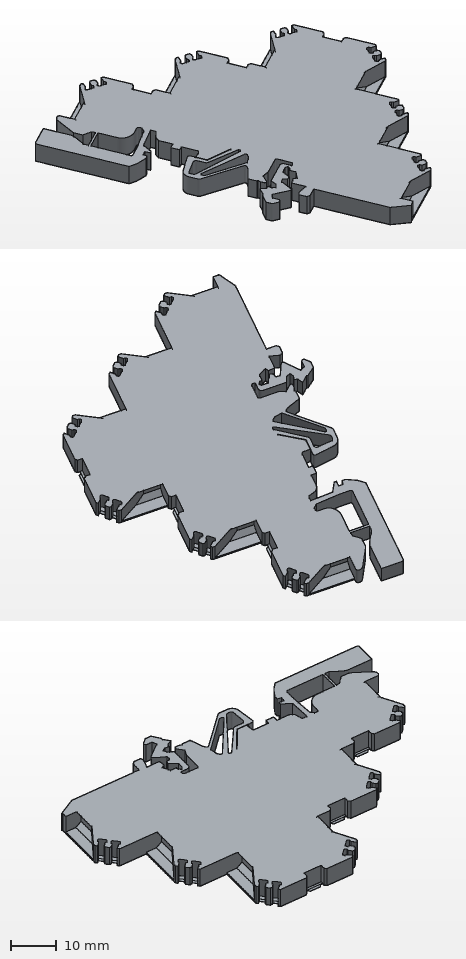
import math

import cadquery as cq

THICKNESS = 5.08
TOP_Y = 57.65
TIER_HEIGHT = 15.4
LEFT_FACE_X = 35.9
RIGHT_FACE_X = 62.75
LEFT_STEP = 16.65
RIGHT_STEP = 10.95
TIER_COUNT = 3
CORNER_CUT = 3.9
CORNER_ANGLE = 45
OVERCUT = 1.0

POCKET_FLOOR = 0.5
POCKET_TOP_DROP = 4.5
POCKET_SLANT = 1.68
POCKET_RIM_DEPTH = 2.8
POCKET_BASE_DEPTH = 2.65
POCKET_BACK_DEPTH = 4.05
POCKET_BACK_BOTTOM = 1.6
POCKET_BACK_TOP = 4.2

LABEL_FLOOR = 0.2

SLOT_MOUTH = 0.5
SLOT_NEAR = 0.8
SLOT_FAR = 2.2
SLOT_LEAD_IN = 0.4
SLOT_THROUGH_DEPTH = 0.75
SLOT_NECK_DEPTH = 1.35
SLOT_WIDEN = 0.35
SLOT_END_DEPTH = 2.35
SLOT_END_ROUND = 0.4

RECESS_OFFSET = 13.4
RECESS_HALF = 2.25
RECESS_LEAD_IN = 0.5
RECESS_TAB_DROP = 0.5
RECESS_GAP_DROP = 1.05
RECESS_DROP = 1.6
TAB_HALF_TOP = 1.4
TAB_HALF_BASE = 1.75


def rounded_outline(corners):
    """Closed outline through (x, y) or (x, y, radius) corners; radii become tangent arcs."""
    pieces = []
    for index, corner in enumerate(corners):
        x, y = corner[:2]
        if len(corner) == 2:
            pieces.append([(x, y)])
            continue
        before = corners[index - 1]
        after = corners[(index + 1) % len(corners)]
        angle_in = math.atan2(before[1] - y, before[0] - x)
        angle_out = math.atan2(after[1] - y, after[0] - x)
        half = math.remainder(angle_out - angle_in, math.tau) / 2
        tangent = corner[2] / abs(math.tan(half))
        middle = corner[2] / abs(math.sin(half)) - corner[2]
        bisector = angle_in + half
        pieces.append([
            (x + tangent * math.cos(angle_in), y + tangent * math.sin(angle_in)),
            (x + middle * math.cos(bisector), y + middle * math.sin(bisector)),
            (x + tangent * math.cos(angle_out), y + tangent * math.sin(angle_out)),
        ])
    sketch = cq.Workplane("XY").moveTo(*pieces[0][-1])
    for piece in pieces[1:] + pieces[:1]:
        sketch = sketch.lineTo(*piece[0])
        if len(piece) > 1:
            sketch = sketch.threePointArc(piece[1], piece[2])
    return sketch.wire()


def plate(corners):
    """Full-thickness slab with the given outline."""
    return rounded_outline(corners).extrude(THICKNESS)


def tier_top(tier):
    return TOP_Y - tier * TIER_HEIGHT


def left_face(tier):
    return LEFT_FACE_X - tier * LEFT_STEP


def right_face(tier):
    return RIGHT_FACE_X + tier * RIGHT_STEP


def make_body():
    """Stepped housing with the rail side along its lower edge."""
    left_stairs = []
    right_stairs = []
    for tier in range(TIER_COUNT):
        top = tier_top(tier)
        left_stairs += [
            (left_face(tier) + CORNER_CUT, top),
            (left_face(tier), top - CORNER_CUT),
            (left_face(tier), top - TIER_HEIGHT),
        ]
        right_stairs += [
            (right_face(tier) - CORNER_CUT, top),
            (right_face(tier), top - CORNER_CUT),
            (right_face(tier), top - TIER_HEIGHT),
        ]
    left_lip = [(1.5, 11.45, 0.6), (1.5, 10.1, 1.2), (6.7, 7.15), (8.9, 7.15), (10.3, 8.75), (11.5, 8.95)]
    cable_side = [(19.25, 8.95, 3.0), (19.25, 13.8, 0.5), (22.3, 13.8)]
    rail_seat = [
        (23.6, 13.8, 0.3), (24.2, 11.9, 0.5), (25.2, 11.15), (28.5, 11.15),
        (28.5, 9.85), (30.6, 9.85), (30.6, 10.9), (34.8, 10.9, 0.5),
    ]
    spring_loop = [
        (34.8, 8.75), (32.9, 8.75, 0.5), (33.9, 2.1, 1.9), (38.0, 2.1, 1.0), (46.1, 10.15, 0.5),
        (46.8, 9.1, 0.4), (48.0, 5.95),
    ]
    latch_seat = [
        (50.1, 5.95), (50.3, 6.2), (50.9, 5.95), (52.2, 5.95, 0.4), (52.2, 6.5, 0.3), (50.8, 8.0),
        (51.4, 9.6), (51.4, 14.35, 0.4), (55.5, 14.35, 0.4), (55.5, 13.4, 0.3), (54.8, 12.85),
        (55.5, 12.3), (55.5, 11.75), (57.1, 11.75), (58.1, 9.9), (57.3, 9.5), (57.5, 7.95),
    ]
    right_foot = [
        (60.8, 7.95), (60.1, 5.6), (60.4, 4.85), (62.2, 4.85), (62.75, 5.4), (62.75, 7.75),
        (80.6, 7.75), (84.8, 10.05), (right_face(TIER_COUNT - 1), 10.25),
    ]
    lower_edge = left_lip + cable_side + rail_seat + spring_loop + latch_seat + right_foot
    return plate(left_stairs + lower_edge + right_stairs[::-1])


def make_lever():
    """Release lever: heavy bar, hooked arm that hangs from the body, and a thin web."""
    bar = plate([
        (0.0, 0.8, 0.4), (22.1, 0.8), (23.4, 2.3), (24.6, 4.6), (24.6, 5.4), (23.6, 5.6), (23.6, 6.65),
        (24.9, 6.65), (24.9, 7.2), (22.6, 8.5), (22.3, 14.5), (20.3, 14.5),
        (20.3, 13.8), (21.05, 13.0), (21.5, 7.3), (21.5, 4.35, 0.4), (10.1, 4.35),
        (7.5, 5.9, 1.0), (6.5, 6.2, 0.5), (0.0, 6.2),
    ])
    web = plate([(11.25, 4.0), (11.8, 4.0), (11.8, 9.2), (11.25, 9.2)])
    return bar.union(web)


def make_latch():
    """Zigzag latch that hangs from the body by a narrow neck."""
    return plate([
        (53.0, 13.4, 0.8), (54.8, 13.4), (55.5, 13.4), (55.1, 12.6), (54.9, 12.85), (54.4, 12.3),
        (54.4, 10.8), (56.4, 9.6), (56.2, 8.9), (55.2, 8.6, 0.3), (55.2, 7.6), (57.2, 6.6),
        (58.5, 5.85, 0.4), (54.8, 2.9), (55.3, 1.8), (56.9, 1.8), (57.3, 1.2, 0.4), (55.9, 0.0, 0.3),
        (54.4, 0.0), (52.9, 1.9), (52.9, 2.3), (51.6, 3.7), (52.9, 4.4), (53.0, 5.15),
        (54.0, 4.95), (54.8, 5.4), (54.4, 6.4), (53.0, 7.0),
    ])


def make_spring_openings():
    """Two slanted windows that leave the spring arms, and the slit that frees the loop."""
    left_window = plate([
        (42.7, 14.35), (43.5, 14.35, 0.25), (38.4, 6.2), (36.5, 3.2, 0.8), (35.1, 3.2, 0.5),
        (34.7, 7.75, 0.7), (37.7, 7.75, 0.8),
    ])
    right_window = plate([
        (37.5, 3.65, 0.3), (38.7, 3.65, 0.4), (46.0, 11.0), (45.6, 12.8, 0.4), (44.8, 13.8, 0.4),
    ])
    slit = plate([
        (34.5, 8.7), (37.5, 8.7), (41.15, 13.9), (41.05, 14.0), (37.4, 8.8), (34.5, 8.8),
    ])
    return left_window.union(right_window).union(slit)


def make_wire_pocket(face_x, top, inward):
    """Funnel-shaped pocket entering from an end face; inward is +1 or -1 along X."""
    bottom = top - TIER_HEIGHT
    slant_start = top - POCKET_TOP_DROP
    slant_end = slant_start - POCKET_SLANT * POCKET_BACK_DEPTH
    plan = plate([
        (face_x - inward * OVERCUT, bottom),
        (face_x + inward * POCKET_BACK_DEPTH, bottom),
        (face_x + inward * POCKET_BACK_DEPTH, slant_end),
        (face_x, slant_start),
        (face_x - inward * OVERCUT, slant_start),
    ])
    section = [
        (-OVERCUT, POCKET_FLOOR),
        (POCKET_BASE_DEPTH, POCKET_FLOOR),
        (POCKET_BACK_DEPTH, POCKET_BACK_BOTTOM),
        (POCKET_BACK_DEPTH, POCKET_BACK_TOP),
        (POCKET_RIM_DEPTH, THICKNESS),
        (-OVERCUT, THICKNESS),
    ]
    funnel = (
        cq.Workplane("XZ", origin=(0, bottom, 0))
        .polyline([(face_x + inward * depth, z) for depth, z in section])
        .close()
        .extrude(-TIER_HEIGHT)
    )
    return plan.intersect(funnel)


def make_ramp_cutter(start, end, low_y, high_y):
    """Cutter above a ramp rising from Z = 0 at high_y to the label floor at low_y, X from start to end."""
    return (
        cq.Workplane("YZ", origin=(start, 0, 0))
        .polyline([(high_y, 0), (low_y, LABEL_FLOOR), (low_y, THICKNESS), (high_y, THICKNESS)])
        .close()
        .extrude(end - start)
    )


def make_label_slot():
    """One label slot; X runs along the corner cut and Y points out of the body."""
    mouth = plate([
        (SLOT_MOUTH, OVERCUT), (SLOT_MOUTH, 0), (SLOT_NEAR, -SLOT_LEAD_IN),
        (SLOT_NEAR, -SLOT_THROUGH_DEPTH), (SLOT_FAR, -SLOT_THROUGH_DEPTH), (SLOT_FAR, OVERCUT),
    ])
    neck = make_ramp_cutter(SLOT_NEAR, SLOT_FAR, -SLOT_NECK_DEPTH, -SLOT_THROUGH_DEPTH)
    shoulder = -SLOT_NECK_DEPTH - SLOT_WIDEN
    chamber = plate([
        (SLOT_NEAR, -SLOT_NECK_DEPTH),
        (SLOT_NEAR - SLOT_WIDEN, shoulder),
        (SLOT_NEAR - SLOT_WIDEN, -SLOT_END_DEPTH, SLOT_END_ROUND),
        (SLOT_FAR + SLOT_WIDEN, -SLOT_END_DEPTH, SLOT_END_ROUND),
        (SLOT_FAR + SLOT_WIDEN, shoulder),
        (SLOT_FAR, -SLOT_NECK_DEPTH),
    ]).translate((0, 0, LABEL_FLOOR))
    return mouth.union(neck).union(chamber)


def place_slot_pair(slot_pair, corner_x, top, inward):
    """Turn the pair of slots to face out of a corner cut and move it there."""
    middle = (corner_x + inward * CORNER_CUT / 2, top - CORNER_CUT / 2, 0)
    return slot_pair.rotate((0, 0, 0), (0, 0, 1), inward * CORNER_ANGLE).translate(middle)


def make_label_recess():
    """Recess in a top edge, centred on X = 0 with the edge at Y = 0, leaving a low ramped tab."""
    mouth = plate([
        (-RECESS_HALF - RECESS_LEAD_IN, 0), (-RECESS_HALF, -RECESS_LEAD_IN),
        (-RECESS_HALF, -RECESS_GAP_DROP), (-TAB_HALF_BASE, -RECESS_GAP_DROP),
        (-TAB_HALF_TOP, -RECESS_TAB_DROP), (TAB_HALF_TOP, -RECESS_TAB_DROP),
        (TAB_HALF_BASE, -RECESS_GAP_DROP), (RECESS_HALF, -RECESS_GAP_DROP),
        (RECESS_HALF, -RECESS_LEAD_IN), (RECESS_HALF + RECESS_LEAD_IN, 0),
    ])
    ramp = make_ramp_cutter(-RECESS_HALF, RECESS_HALF, -RECESS_GAP_DROP, -RECESS_TAB_DROP)
    pocket = (
        cq.Workplane("XY", origin=(0, 0, LABEL_FLOOR))
        .center(0, -(RECESS_GAP_DROP + RECESS_DROP) / 2)
        .rect(2 * RECESS_HALF, RECESS_DROP - RECESS_GAP_DROP)
        .extrude(THICKNESS)
    )
    return mouth.union(ramp).union(pocket)


result = make_body().union(make_lever()).union(make_latch()).cut(make_spring_openings())

label_slot = make_label_slot()
slot_pair = label_slot.union(label_slot.mirror("YZ"))
label_recess = make_label_recess()
for tier in range(TIER_COUNT):
    top = tier_top(tier)
    for face_x, inward in ((left_face(tier), 1), (right_face(tier), -1)):
        result = result.cut(make_wire_pocket(face_x, top, inward))
        result = result.cut(place_slot_pair(slot_pair, face_x, top, inward))
    result = result.cut(label_recess.translate((left_face(tier) + RECESS_OFFSET, top, 0)))